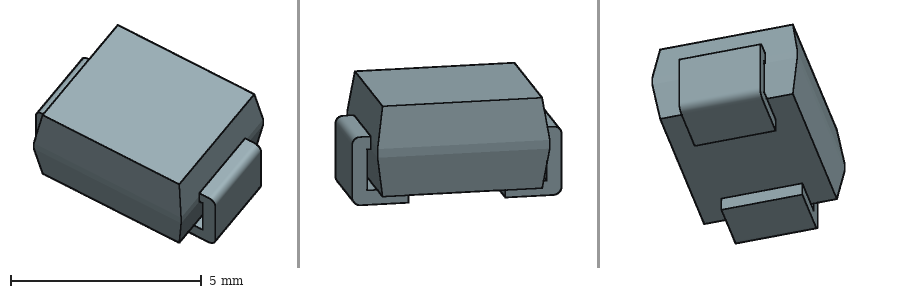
import cadquery as cq

belt_length = 4.605
belt_width = 3.95
belt_height = 0.235
taper_inset = 0.17
total_height = 2.85

total_length = 5.6
lead_width = 2.2
lead_thickness = 0.4
lead_height = 1.855
upper_bend_radius = 0.2
lower_bend_radius = 0.225
foot_length = 1.505

housing_bottom = lead_thickness
half_height = (total_height - housing_bottom - belt_height) / 2
belt_bottom = housing_bottom + half_height
belt_top = belt_bottom + belt_height


def make_tapered_half(belt_face, end_face):
    """Frustum from the belt outline at belt_face to the smaller outline at end_face."""
    return (
        cq.Workplane("XY", origin=(0, 0, belt_face))
        .rect(belt_length, belt_width)
        .workplane(offset=end_face - belt_face)
        .rect(belt_length - 2 * taper_inset, belt_width - 2 * taper_inset)
        .loft(ruled=True)
    )


def make_housing():
    belt = cq.Workplane("XY", origin=(0, 0, belt_bottom)).rect(belt_length, belt_width).extrude(belt_height)
    lower_half = make_tapered_half(belt_bottom, housing_bottom)
    upper_half = make_tapered_half(belt_top, total_height)
    return belt.union(lower_half).union(upper_half)


def make_lead(side):
    """C-shaped lead; side is -1 for the -X end and +1 for the +X end."""
    outer_x = side * total_length / 2
    inner_x = side * (total_length / 2 - lead_thickness)
    arm_end_x = side * belt_length / 2
    foot_end_x = side * (total_length / 2 - foot_length)
    profile = [
        (foot_end_x, 0),
        (outer_x, 0),
        (outer_x, lead_height),
        (arm_end_x, lead_height),
        (arm_end_x, belt_bottom),
        (inner_x, belt_bottom),
        (inner_x, lead_thickness),
        (foot_end_x, lead_thickness),
    ]
    lead = cq.Workplane("XZ").polyline(profile).close().extrude(lead_width / 2, both=True)
    outer_face = ">X" if side > 0 else "<X"
    lead = lead.faces(outer_face).edges(">Z").fillet(upper_bend_radius)
    return lead.faces(outer_face).edges("<Z").fillet(lower_bend_radius)


housing = make_housing()
leads = [make_lead(side) for side in (-1, 1)]

result = cq.Compound.makeCompound([housing.val(), *[lead.val() for lead in leads]])